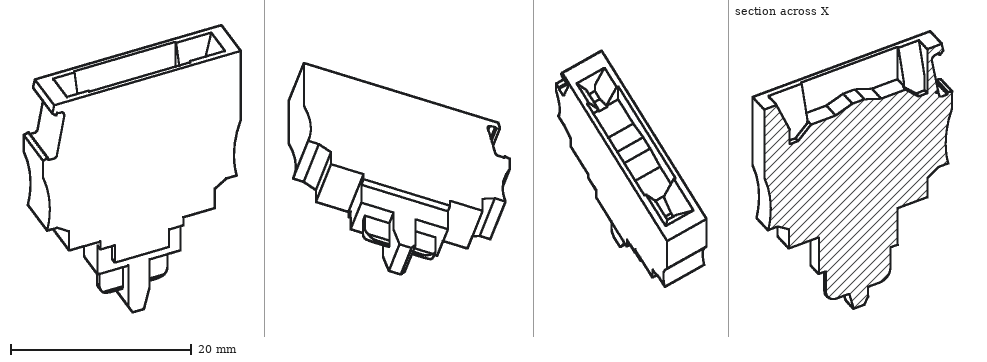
import cadquery as cq

HEIGHT = 33.25
WIDTH = 5.1
HALF_LENGTH = 12.1

GRIP_TOP_Z = 23.47
WAIST_Z = 18.75
GRIP_BOTTOM_Z = 15.75
WAIST_Y = 11.27
GRIP_BOTTOM_Y = 11.6

BEVEL_Y = 10.35
SHOULDER_Y = 8.9
SHOULDER_Z = 14.75
BODY_BOTTOM_Z = 12.05
NECK_HALF_LENGTH = 5.1
NECK_STEP_Z = 10.9
NECK_BOTTOM_Z = 6.8
NECK_WIDTH = 3.6
TAB_BOTTOM_Z = 8.45
TAB_HALF_LENGTH = 3.32

BLADE_HALF_LENGTH = 4.15
BLADE_BOTTOM_Z = 2.35
BLADE_THICKNESS = 0.73
BLADE_CORNER = 1.45
BLADE_CHAMFER_HEIGHT = 0.5
BLADE_CHAMFER_INSET = 0.2

PRONG_HALF_LENGTH = 1.3
PRONG_TIP_BACK_Y = 0.6
PRONG_TIP_FRONT_Y = -0.8
PRONG_TAPER_Z = 2.85
PRONG_BEVEL_Z = 1.0

POCKET_WIDTH = 4.0
POCKET_HALF_LENGTH = 6.22
RIDGE_TOP_Z = HEIGHT - 3.82
POCKET_FLOOR_Z = RIDGE_TOP_Z - 0.8
RIDGE_HALF_TOP = 0.75
RIDGE_HALF_BASE = 2.93

FUNNEL_WIDTH = 3.6
FUNNEL_DEPTH = 4.22
BACK_FUNNEL_Y = 10.5
BACK_SLOT_Y = 8.78
FRONT_FUNNEL_Y = -8.85
SLOT_WIDTH = 1.1
SLOT_INNER_Y = 6.1
SLOT_RAMP_Y = 7.75
SLOT_FLOOR_Z = POCKET_FLOOR_Z - 1.65


def extrude_across(outline, width):
    """Extrude a closed YZ outline symmetrically about X = 0."""
    return outline.close().extrude(width / 2, both=True)


def polygon_across(points, width):
    return extrude_across(cq.Workplane("YZ").polyline(points), width)


def block(width, half_length, bottom, top):
    """Box centred on X and Y between two heights."""
    return cq.Workplane("XY").workplane(offset=bottom).rect(width, 2 * half_length).extrude(top - bottom)


def grip_radius(end_y, end_z):
    """Radius of an arc that is vertical at the waist and passes through the end point."""
    rise = end_z - WAIST_Z
    run = end_y - WAIST_Y
    return (rise**2 + run**2) / (2 * run)


def make_body():
    upper_radius = grip_radius(HALF_LENGTH, GRIP_TOP_Z)
    lower_radius = grip_radius(GRIP_BOTTOM_Y, GRIP_BOTTOM_Z)
    outline = (
        cq.Workplane("YZ")
        .moveTo(HALF_LENGTH, HEIGHT)
        .lineTo(-10.75, HEIGHT)
        .lineTo(-10.97, 32.15)
        .lineTo(-10.5, 31.7)
        .lineTo(-10.37, 32.02)
        .lineTo(-9.75, 31.9)
        .threePointArc((-9.58, 31.7), (-9.5, 31.3))
        .lineTo(-10.4, 26.07)
        .threePointArc((-10.55, 25.8), (-10.8, 25.7))
        .lineTo(-11.45, 25.75)
        .lineTo(-11.5, 26.05)
        .lineTo(-HALF_LENGTH, 25.85)
        .lineTo(-HALF_LENGTH, GRIP_TOP_Z)
        .radiusArc((-WAIST_Y, WAIST_Z), upper_radius)
        .radiusArc((-GRIP_BOTTOM_Y, GRIP_BOTTOM_Z), lower_radius)
        .lineTo(-BEVEL_Y, GRIP_BOTTOM_Z)
        .lineTo(-SHOULDER_Y, SHOULDER_Z)
        .lineTo(-SHOULDER_Y, BODY_BOTTOM_Z)
        .lineTo(SHOULDER_Y, BODY_BOTTOM_Z)
        .lineTo(SHOULDER_Y, SHOULDER_Z)
        .lineTo(BEVEL_Y, GRIP_BOTTOM_Z)
        .lineTo(GRIP_BOTTOM_Y, GRIP_BOTTOM_Z)
        .radiusArc((WAIST_Y, WAIST_Z), lower_radius)
        .radiusArc((HALF_LENGTH, GRIP_TOP_Z), upper_radius)
    )
    return extrude_across(outline, WIDTH)


def make_neck():
    step = block(WIDTH, NECK_HALF_LENGTH, NECK_STEP_Z, BODY_BOTTOM_Z)
    neck = block(NECK_WIDTH, NECK_HALF_LENGTH, NECK_BOTTOM_Z, BODY_BOTTOM_Z)
    tab_width = (WIDTH - NECK_WIDTH) / 2
    tab = block(tab_width, TAB_HALF_LENGTH, TAB_BOTTOM_Z, BODY_BOTTOM_Z)
    tab = tab.translate(((WIDTH - tab_width) / 2, 0, 0))
    return step.union(neck).union(tab)


def make_blade():
    blade = block(BLADE_THICKNESS, BLADE_HALF_LENGTH, BLADE_BOTTOM_Z, NECK_BOTTOM_Z)
    blade = blade.edges("|X and <Z").fillet(BLADE_CORNER)
    half = BLADE_THICKNESS / 2
    bevelled_section = (
        cq.Workplane("XZ")
        .moveTo(-half, NECK_BOTTOM_Z)
        .lineTo(-half, BLADE_BOTTOM_Z + BLADE_CHAMFER_HEIGHT)
        .lineTo(-half + BLADE_CHAMFER_INSET, BLADE_BOTTOM_Z)
        .lineTo(half - BLADE_CHAMFER_INSET, BLADE_BOTTOM_Z)
        .lineTo(half, BLADE_BOTTOM_Z + BLADE_CHAMFER_HEIGHT)
        .lineTo(half, NECK_BOTTOM_Z)
        .close()
        .extrude(BLADE_HALF_LENGTH, both=True)
    )
    return blade.intersect(bevelled_section)


def make_prong():
    return polygon_across(
        [
            (PRONG_HALF_LENGTH, NECK_BOTTOM_Z),
            (PRONG_HALF_LENGTH, PRONG_TAPER_Z),
            (PRONG_TIP_BACK_Y, 0),
            (PRONG_TIP_FRONT_Y, 0),
            (-PRONG_HALF_LENGTH, PRONG_BEVEL_Z),
            (-PRONG_HALF_LENGTH, NECK_BOTTOM_Z),
        ],
        NECK_WIDTH,
    )


def make_pocket():
    pocket = block(POCKET_WIDTH, POCKET_HALF_LENGTH, POCKET_FLOOR_Z, HEIGHT)
    ridge = polygon_across(
        [
            (-RIDGE_HALF_BASE, POCKET_FLOOR_Z),
            (-RIDGE_HALF_TOP, RIDGE_TOP_Z),
            (RIDGE_HALF_TOP, RIDGE_TOP_Z),
            (RIDGE_HALF_BASE, POCKET_FLOOR_Z),
        ],
        POCKET_WIDTH,
    )
    return pocket.cut(ridge)


def make_funnel(top_end_y, slot_end_y):
    """Tapered opening leading down into a slot with a ramped floor."""
    side = 1 if top_end_y > 0 else -1
    inner_y = side * SLOT_INNER_Y
    funnel = (
        cq.Workplane("XY")
        .workplane(offset=HEIGHT)
        .center(0, (top_end_y + inner_y) / 2)
        .rect(FUNNEL_WIDTH, abs(top_end_y - inner_y))
        .workplane(offset=-FUNNEL_DEPTH)
        .center(0, (slot_end_y - top_end_y) / 2)
        .rect(SLOT_WIDTH, abs(slot_end_y - inner_y))
        .loft(ruled=True)
    )
    slot = polygon_across(
        [
            (inner_y, HEIGHT - FUNNEL_DEPTH),
            (inner_y, POCKET_FLOOR_Z),
            (side * SLOT_RAMP_Y, SLOT_FLOOR_Z),
            (slot_end_y, SLOT_FLOOR_Z),
            (slot_end_y, HEIGHT - FUNNEL_DEPTH),
        ],
        SLOT_WIDTH,
    )
    return funnel.union(slot)


result = (
    make_body()
    .union(make_neck())
    .union(make_blade())
    .union(make_prong())
    .cut(make_pocket())
    .cut(make_funnel(BACK_FUNNEL_Y, BACK_SLOT_Y))
    .cut(make_funnel(FRONT_FUNNEL_Y, FRONT_FUNNEL_Y))
)